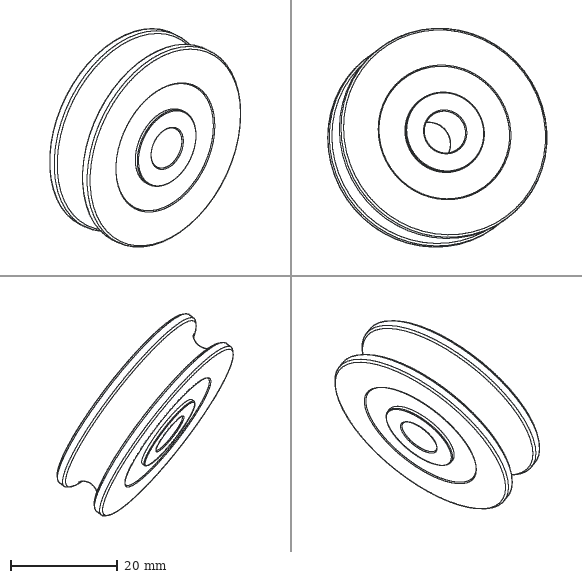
import cadquery as cq

outer_radius = 20.0
rim_width = 11.0
rim_chamfer = 0.4

groove_radius = 3.5
groove_chamfer = 0.4

recess_radius = 12.9
recess_depth = 0.2

hub_width = 12.0
hub_radius = 7.65
hub_chamfer = 0.15

bore_radius = 4.0
bore_chamfer = 0.2

half_rim = rim_width / 2
half_hub = hub_width / 2


def x_cylinder(radius, width):
    """Solid cylinder along X, centred on the origin."""
    return cq.Workplane("YZ").circle(radius).extrude(width / 2, both=True)


def make_rim():
    return x_cylinder(outer_radius, rim_width).faces("<X or >X").edges().chamfer(rim_chamfer)


def make_groove():
    """Ring with a round bottom and flared edges where it meets the rim."""
    shoulder_radius = outer_radius - groove_chamfer
    shoulder_half_width = (groove_radius**2 - groove_chamfer**2) ** 0.5
    mouth_half_width = shoulder_half_width + groove_chamfer
    return (
        cq.Workplane("XY")
        .moveTo(-mouth_half_width, outer_radius)
        .lineTo(-shoulder_half_width, shoulder_radius)
        .threePointArc((0, outer_radius - groove_radius), (shoulder_half_width, shoulder_radius))
        .lineTo(mouth_half_width, outer_radius)
        .close()
        .revolve(360, (0, 0, 0), (1, 0, 0))
    )


def flared_disc(inner_x, outer_x, inner_radius, flared_radius):
    """Truncated cone along X between two stations."""
    return (
        cq.Workplane("XY")
        .polyline([(inner_x, 0), (inner_x, inner_radius), (outer_x, flared_radius), (outer_x, 0)])
        .close()
        .revolve(360, (0, 0, 0), (1, 0, 0))
    )


def make_hub():
    return x_cylinder(hub_radius, hub_width).faces("<X or >X").edges().chamfer(hub_chamfer)


wheel = make_rim().cut(make_groove())
for side in (-1, 1):
    recess = flared_disc(
        side * (half_rim - recess_depth), side * half_rim, recess_radius - recess_depth, recess_radius
    )
    wheel = wheel.cut(recess)

wheel = wheel.union(make_hub()).cut(x_cylinder(bore_radius, hub_width))
for side in (-1, 1):
    countersink = flared_disc(
        side * (half_hub - bore_chamfer), side * half_hub, bore_radius, bore_radius + bore_chamfer
    )
    wheel = wheel.cut(countersink)

result = wheel